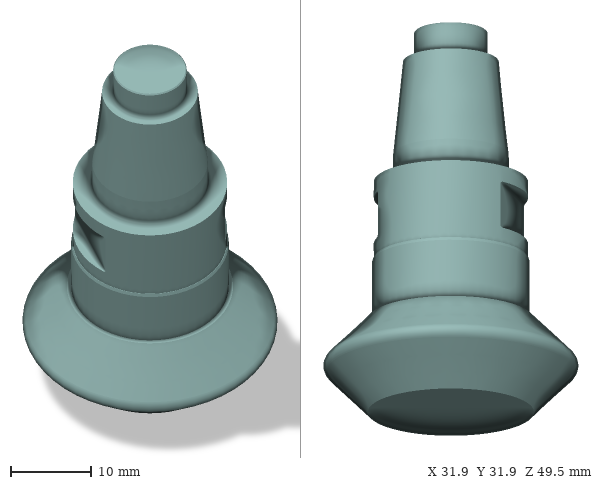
import cadquery as cq
import math

FOOT_TOP = 12.1
SHOULDER_TOP = 19.95
COLLAR_TOP = 30.0
TAPER_START = 33.5
TAPER_TOP = 45.65
TOTAL_HEIGHT = 49.5

FOOT_DIAMETER = 31.9
RIM_ROUND = 1.2

SHOULDER_RADIUS = 19.7 / 2
COLLAR_RADIUS = 19.3 / 2
NECK_RADIUS = 7.35
TAPER_BASE_RADIUS = 7.25
TAPER_TOP_RADIUS = 6.0
TIP_RADIUS = 9.2 / 2
ROOT_FILLET = 0.4
SHOULDER_CHAMFER_HEIGHT = 0.4
SHOULDER_CHAMFER_WIDTH = 0.15
TIP_CHAMFER = 0.15

FLATS_ACROSS = 15.95
FLAT_BOTTOM = 21.95
FLAT_TOP = 27.9
FLAT_FILLET = 0.25


def make_foot():
    """Two 45 degree cones meeting at a rounded rim, symmetric about the mid height."""
    mid_height = FOOT_TOP / 2
    rim_loss = RIM_ROUND * (math.sqrt(2) - 1)
    sharp_radius = FOOT_DIAMETER / 2 + rim_loss
    end_radius = sharp_radius - mid_height
    tangent_offset = RIM_ROUND / math.sqrt(2)
    tangent_radius = sharp_radius - tangent_offset
    return (
        cq.Workplane("XZ")
        .lineTo(end_radius, 0)
        .lineTo(tangent_radius, mid_height - tangent_offset)
        .threePointArc((FOOT_DIAMETER / 2, mid_height), (tangent_radius, mid_height + tangent_offset))
        .lineTo(end_radius, FOOT_TOP)
        .lineTo(0, FOOT_TOP)
        .close()
        .revolve(360, (0, 0), (0, 1))
    )


def make_stem_blank():
    """Turned shape of the stem, with filleted roots at the neck and the tip."""
    return (
        cq.Workplane("XZ")
        .moveTo(0, FOOT_TOP)
        .lineTo(SHOULDER_RADIUS, FOOT_TOP)
        .lineTo(SHOULDER_RADIUS, SHOULDER_TOP - SHOULDER_CHAMFER_HEIGHT)
        .lineTo(SHOULDER_RADIUS - SHOULDER_CHAMFER_WIDTH, SHOULDER_TOP)
        .lineTo(COLLAR_RADIUS, SHOULDER_TOP)
        .lineTo(COLLAR_RADIUS, COLLAR_TOP)
        .lineTo(NECK_RADIUS + ROOT_FILLET, COLLAR_TOP)
        .radiusArc((NECK_RADIUS, COLLAR_TOP + ROOT_FILLET), ROOT_FILLET)
        .lineTo(TAPER_BASE_RADIUS, TAPER_START)
        .lineTo(TAPER_TOP_RADIUS, TAPER_TOP)
        .lineTo(TIP_RADIUS + ROOT_FILLET, TAPER_TOP)
        .radiusArc((TIP_RADIUS, TAPER_TOP + ROOT_FILLET), ROOT_FILLET)
        .lineTo(TIP_RADIUS, TOTAL_HEIGHT - TIP_CHAMFER)
        .lineTo(TIP_RADIUS - TIP_CHAMFER, TOTAL_HEIGHT)
        .lineTo(0, TOTAL_HEIGHT)
        .close()
        .revolve(360, (0, 0), (0, 1))
    )


def make_flat_cutter(side):
    """Block that cuts one wrench flat; side is -1 for the front and 1 for the back."""
    width = 2 * COLLAR_RADIUS
    depth = COLLAR_RADIUS
    inner_edges = "<Y" if side > 0 else ">Y"
    return (
        cq.Workplane("XY", origin=(0, side * (FLATS_ACROSS / 2 + depth / 2), FLAT_BOTTOM))
        .box(width, depth, FLAT_TOP - FLAT_BOTTOM, centered=(True, True, False))
        .faces(inner_edges)
        .edges("|X")
        .fillet(FLAT_FILLET)
    )


def make_stem():
    stem = make_stem_blank()
    for side in (-1, 1):
        stem = stem.cut(make_flat_cutter(side))
    return stem


foot = make_foot()
stem = make_stem()
result = cq.Compound.makeCompound([foot.val(), stem.val()])